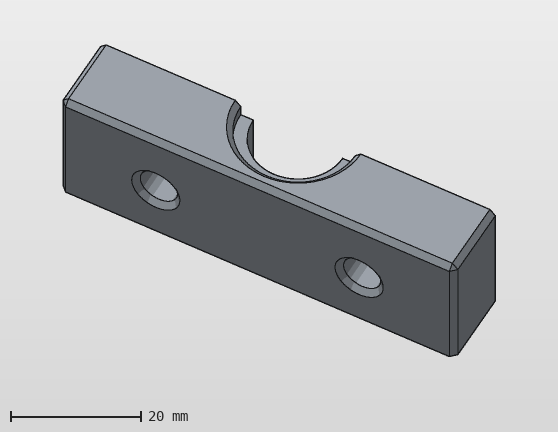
import cadquery as cq

length = 69.0
depth = 13.0
height = 22.0
edge_chamfer = 1.0

bore_radius = 7.8
seat_radius = 10.0
seat_depth = 3.0
seat_chamfer = 1.0

hole_spacing = 35.55
hole_height = 10.0
hole_radius = 3.25
countersink = 1.0


def make_block():
    block = cq.Workplane("XY").box(length, depth, height, centered=(True, False, False))
    block = block.translate((0, -depth, 0))
    top_edges = block.edges(">Z and (<X or >X or <Y)").vals()
    front_corners = block.edges("|Z and <Y").vals()
    return block.newObject(top_edges + front_corners).chamfer(edge_chamfer)


def cone(large_radius, small_radius, base, direction):
    """Conical cutter narrowing at 45 degrees from its base."""
    return cq.Workplane(
        cq.Solid.makeCone(
            large_radius, small_radius, large_radius - small_radius, cq.Vector(*base), cq.Vector(*direction)
        )
    )


def saddle_cutter():
    bore = cq.Workplane("XY").circle(bore_radius).extrude(height)
    seat = cq.Workplane("XY").workplane(offset=height - seat_depth).circle(seat_radius).extrude(seat_depth)
    lead_in = cone(seat_radius + seat_chamfer, seat_radius, (0, 0, height), (0, 0, -1))
    return bore.union(seat).union(lead_in)


def bolt_hole_cutter(x):
    hole = cq.Workplane("XZ").center(x, hole_height).circle(hole_radius).extrude(depth)
    entry = cone(hole_radius + countersink, hole_radius, (x, -depth, hole_height), (0, 1, 0))
    return hole.union(entry)


result = make_block().cut(saddle_cutter())
for x in (-hole_spacing / 2, hole_spacing / 2):
    result = result.cut(bolt_hole_cutter(x))